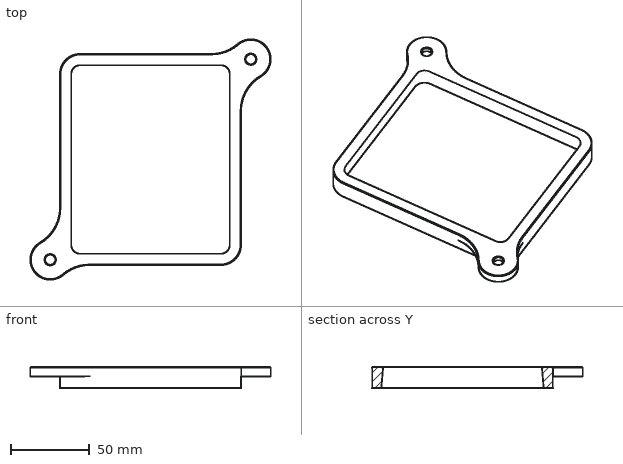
import cadquery as cq
import math

overall_size = 152.4
frame_width = 114.9
frame_length = 133.9
wall_at_base = 6.1
window_draft = 5.0
total_height = 13.41
plate_thickness = 6.35
corner_radius = 13.0
lug_radius = 12.7
blend_radius = 25.4
edge_chamfer = 0.5
hole_diameter = 6.35
hole_depth = 3.175

half_width = frame_width / 2
half_length = frame_length / 2
lug_offset = overall_size / 2 - lug_radius
window_width = frame_width - 2 * wall_at_base
window_length = frame_length - 2 * wall_at_base
window_radius = corner_radius - wall_at_base
plate_bottom = total_height - plate_thickness
diagonal = math.sqrt(0.5)
tool_clearance = 1.0


def blend_arc(half_side):
    """Arc joining a frame side to the upper right lug.

    Returns three (across, along) points: on the side, mid-arc and on the lug,
    where "across" is measured square to the side and "along" parallel to it.
    """
    center_across = half_side + blend_radius
    reach = blend_radius + lug_radius
    rise = math.sqrt(reach**2 - (center_across - lug_offset) ** 2)
    center_along = lug_offset - rise
    swing = math.atan2(rise, center_across - lug_offset)

    def point_at(angle):
        across = center_across - blend_radius * math.cos(angle)
        along = center_along + blend_radius * math.sin(angle)
        return across, along

    return point_at(0), point_at(swing / 2), point_at(swing)


def half_turn(point, sign):
    """The point itself for sign 1, or turned half way round Z for sign -1."""
    x, y = point
    return sign * x, sign * y


def plate_outline():
    """Closed outline of the frame with lugs, symmetric by a half turn about Z."""
    side_start, side_middle, side_end = blend_arc(half_width)
    end_start, end_middle, end_end = [(along, across) for across, along in blend_arc(half_length)]
    lug_tip = lug_offset + lug_radius * diagonal
    corner_center_x = half_width - corner_radius
    corner_center_y = half_length - corner_radius
    corner_start = (-corner_center_x, half_length)
    corner_middle = (
        -corner_center_x - corner_radius * diagonal,
        corner_center_y + corner_radius * diagonal,
    )
    corner_end = (-half_width, corner_center_y)

    base = cq.Workplane("XY").workplane(offset=plate_bottom)
    outline = base.moveTo(*half_turn(corner_end, -1))
    for sign in (1, -1):
        outline = (
            outline.lineTo(*half_turn(side_start, sign))
            .threePointArc(half_turn(side_middle, sign), half_turn(side_end, sign))
            .threePointArc(half_turn((lug_tip, lug_tip), sign), half_turn(end_end, sign))
            .threePointArc(half_turn(end_middle, sign), half_turn(end_start, sign))
            .lineTo(*half_turn(corner_start, sign))
            .threePointArc(half_turn(corner_middle, sign), half_turn(corner_end, sign))
        )
    return outline.close()


def make_plate():
    """Upper plate with both lugs, its outer edges chamfered above and below."""
    plate = plate_outline().extrude(plate_thickness)
    return plate.faces("<Z or >Z").chamfer(edge_chamfer)


def rounded_block(width, length, height, radius):
    """Upright block centred on Z with rounded corners, standing on Z = 0."""
    block = cq.Workplane("XY").rect(width, length).extrude(height)
    return block.edges("|Z").fillet(radius)


def make_window():
    """Cutting tool for the opening through the frame, tapering inward toward the top."""
    window = cq.Sketch().rect(window_width, window_length).vertices().fillet(window_radius)
    return cq.Workplane("XY").placeSketch(window).extrude(total_height, taper=window_draft)


def make_lug_hole(x, y):
    """Cutting tool for one blind hole with a chamfered mouth."""
    hole_radius = hole_diameter / 2
    mouth_radius = hole_radius + edge_chamfer
    profile = (
        cq.Workplane("XZ")
        .moveTo(0, -hole_depth)
        .lineTo(hole_radius, -hole_depth)
        .lineTo(hole_radius, -edge_chamfer)
        .lineTo(mouth_radius, 0)
        .lineTo(mouth_radius, tool_clearance)
        .lineTo(0, tool_clearance)
        .close()
    )
    hole = profile.revolve(360, (0, 0, 0), (0, 1, 0))
    return hole.translate((x, y, total_height))


frame_top = total_height - edge_chamfer
frame = rounded_block(frame_width, frame_length, frame_top, corner_radius)

result = frame.union(make_plate()).cut(make_window())
for side in (1, -1):
    result = result.cut(make_lug_hole(side * lug_offset, side * lug_offset))